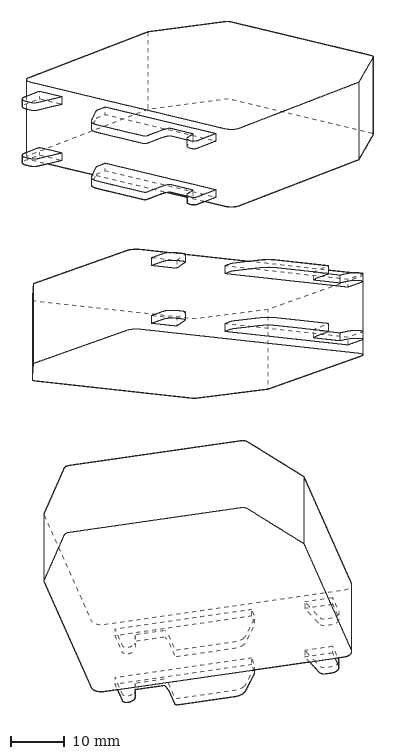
import cadquery as cq

width = 50.0
total_length = 61.75
height = 15.2
blade_reach = 9.5
body_length = total_length - blade_reach
rear_flat_width = 34.6
shoulder_length = 14.3
rear_corner_radius = 1.3
front_corner_radius = 1.9

plate_thickness = 1.5
plate_inset = 1.35
root_depth = 0.6
toe_reach = 6.4
toe_outer_x = 20.95
toe_radius = 1.9

tooth_root_x = -15.55
tooth_tip_x = -17.1
tooth_tip_radius = 1.05

blade_left_x = -5.3
blade_shoulder_reach = 2.7
blade_shoulder_radius = 1.85
blade_tip_left_x = -1.35
blade_tip_left_radius = 2.95
blade_right_x = 11.75
blade_tip_right_radius = 0.5
notch_slant_reach = 4.65
notch_left_x = 12.05
notch_left_radius = 0.4
notch_right_x = 17.7
hook_tip_x = 18.6
hook_outer_radius = 0.8


def round_corner(solid, x, reach, radius):
    """Round the upright edge at x, a given reach in front of the housing."""
    margin = 0.03
    box = cq.selectors.BoxSelector(
        (x - margin, -reach - margin, -height),
        (x + margin, -reach + margin, height),
    )
    return solid.edges("|Z").edges(box).fillet(radius)


def housing():
    half_width = width / 2
    half_flat = rear_flat_width / 2
    shoulder_y = body_length - shoulder_length
    outline = [
        (-half_width, 0),
        (half_width, 0),
        (half_width, shoulder_y),
        (half_flat, body_length),
        (-half_flat, body_length),
        (-half_width, shoulder_y),
    ]
    body = cq.Workplane("XY").polyline(outline).close().extrude(height)
    body = body.edges("|Z and <Y").fillet(front_corner_radius)
    return body.edges("|Z and >Y").fillet(rear_corner_radius)


def tooth():
    outline = [
        (-toe_outer_x, root_depth),
        (-toe_outer_x, -toe_reach),
        (tooth_tip_x, -toe_reach),
        (tooth_root_x, 0),
        (tooth_root_x, root_depth),
    ]
    solid = cq.Workplane("XY").polyline(outline).close().extrude(plate_thickness)
    solid = round_corner(solid, -toe_outer_x, toe_reach, toe_radius)
    return round_corner(solid, tooth_tip_x, toe_reach, tooth_tip_radius)


def blade():
    outline = [
        (blade_left_x, root_depth),
        (blade_left_x, -blade_shoulder_reach),
        (blade_tip_left_x, -blade_reach),
        (blade_right_x, -blade_reach),
        (blade_right_x, -notch_slant_reach),
        (notch_left_x, -blade_shoulder_reach),
        (notch_right_x, -blade_shoulder_reach),
        (hook_tip_x, -toe_reach),
        (toe_outer_x, -toe_reach),
        (toe_outer_x, root_depth),
    ]
    solid = cq.Workplane("XY").polyline(outline).close().extrude(plate_thickness)
    corners = [
        (blade_left_x, blade_shoulder_reach, blade_shoulder_radius),
        (blade_tip_left_x, blade_reach, blade_tip_left_radius),
        (blade_right_x, blade_reach, blade_tip_right_radius),
        (notch_left_x, blade_shoulder_reach, notch_left_radius),
        (hook_tip_x, toe_reach, toe_radius),
        (toe_outer_x, toe_reach, hook_outer_radius),
    ]
    for x, reach, radius in corners:
        solid = round_corner(solid, x, reach, radius)
    return solid


result = housing()
for plate_z in (plate_inset, height - plate_inset - plate_thickness):
    for plate in (tooth(), blade()):
        result = result.union(plate.translate((0, 0, plate_z)))